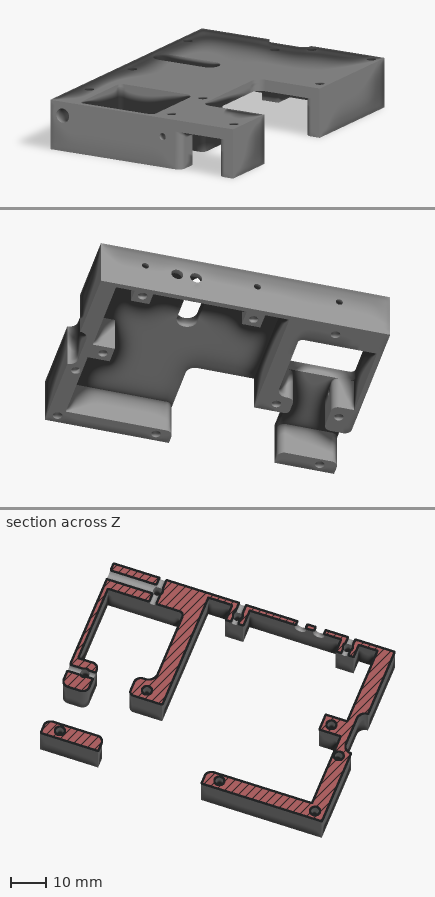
import cadquery as cq

LENGTH_X = 60.0
LENGTH_Y = 85.0
HEIGHT = 14.5
PLATE = 3.4
UNDER = HEIGHT - PLATE

WALL = 4.85
SIDE_WALL = 1.5
WALL_RADIUS = 2.0
FRONT_BLOCK_RIGHT = 43.0
POST_END_RADIUS = 1.4
RIGHT_WALL_X = LENGTH_X - WALL
REAR_WALL_Y = LENGTH_Y - WALL

CUTOUT_LEFT = 39.35
CUTOUT_FRONT = 17.5
CUTOUT_REAR = 48.5
CUTOUT_RADIUS = 2.7

WINDOW_LEFT = 8.6
WINDOW_RIGHT = 32.9
WINDOW_FRONT = 1.5
WINDOW_REAR = 24.4
WINDOW_RADIUS = 1.4
WINDOW_BIG_RADIUS = 2.7
POST_FRONT = 19.0
FRONT_BLOCK_REAR = 7.8
CROSS_WALL_REAR = WINDOW_REAR + WALL

SLOT_LEFT = 2.7
SLOT_RIGHT = 23.7
SLOT_Y = 54.0
SLOT_WIDTH = 6.0

NOTCH_X = 29.0
NOTCH_WIDTH = 13.8
NOTCH_DEPTH = 2.5
NOTCH_RADIUS = 2.4

SCREW_DIAMETER = 2.7
EDGE_OFFSET = 3.1
RIGHT_OFFSET = 2.6
RIGHT_HOLE_X = LENGTH_X - RIGHT_OFFSET
REAR_HOLE_X = 37.9
REAR_LEG_HOLE_Y = 53.0
POST_HOLE_X = 36.3
POST_HOLE_Y = 23.5
FRONT_HOLE_Y = 4.9
FRONT_HOLE_X = 36.9
LEFT_HOLE_X = 4.1
LEFT_HOLE_Y = 15.0
MIDDLE_HOLE_Y = 39.0
SIDE_HOLE_Y = 71.9
NOTCH_HOLE_Y = 76.4
BOSS_HALF = 2.7
SIDE_BOSS_POINTS = [(LEFT_HOLE_X, MIDDLE_HOLE_Y), (EDGE_OFFSET, SIDE_HOLE_Y)]
SCREW_POINTS = SIDE_BOSS_POINTS + [
    (LEFT_HOLE_X, LEFT_HOLE_Y),
    (NOTCH_X, NOTCH_HOLE_Y),
    (REAR_HOLE_X, LENGTH_Y - EDGE_OFFSET),
    (RIGHT_HOLE_X, LENGTH_Y - EDGE_OFFSET),
    (RIGHT_HOLE_X, REAR_LEG_HOLE_Y),
    (POST_HOLE_X, POST_HOLE_Y),
    (FRONT_HOLE_X, FRONT_HOLE_Y),
    (RIGHT_HOLE_X, FRONT_HOLE_Y),
]

SET_SCREW_DIAMETER = 2.0
SET_SCREW_Z = 9.0
CABLE_DIAMETER = 3.5
CABLE_Z = 8.0
CABLE_YS = (57.0, 62.6)
FRONT_BORE_DIAMETER = 4.2
FRONT_BORE_Z = 10.45
REAR_BORE_DIAMETER = 1.6
REAR_BORE_Z = 12.8


def box(x0, x1, y0, y1, z0=0, z1=HEIGHT):
    """Box between two opposite corners."""
    return cq.Workplane("XY").box(x1 - x0, y1 - y0, z1 - z0, centered=False).translate((x0, y0, z0))


def hole_along_x(y, z, diameter, end_x):
    """Cylinder from the left face to end_x."""
    return cq.Workplane("YZ").center(y, z).circle(diameter / 2).extrude(end_x)


def hole_along_y(x, z, diameter, start_y, end_y):
    """Cylinder from start_y back to end_y."""
    return cq.Workplane("XZ", origin=(x, start_y, z)).circle(diameter / 2).extrude(start_y - end_y)


def round_corner(body, x, y, radius):
    """Round the vertical edge of body that stands at (x, y)."""
    margin = 0.1
    edge = cq.selectors.BoxSelector(
        (x - margin, y - margin, -margin), (x + margin, y + margin, HEIGHT + margin)
    )
    return body.edges("|Z").edges(edge).fillet(radius)


def make_window_walls():
    """Walls around the window, with the post and the block at its right side."""
    left_block = box(0, WINDOW_LEFT, 0, CROSS_WALL_REAR, 0, UNDER)
    front_wall = box(0, WINDOW_RIGHT, 0, WINDOW_FRONT, 0, UNDER)
    front_block = box(WINDOW_RIGHT, FRONT_BLOCK_RIGHT, 0, FRONT_BLOCK_REAR, 0, UNDER)
    front_block = front_block.edges("|Z and (>X or >Y)").fillet(WALL_RADIUS)
    cross_wall = box(0, CUTOUT_LEFT, WINDOW_REAR - WINDOW_BIG_RADIUS, CROSS_WALL_REAR, 0, UNDER)
    post = box(WINDOW_RIGHT, CUTOUT_LEFT, POST_FRONT, CROSS_WALL_REAR, 0, UNDER)
    post = round_corner(post, WINDOW_RIGHT, POST_FRONT, WALL_RADIUS)
    post = round_corner(post, CUTOUT_LEFT, POST_FRONT, POST_END_RADIUS)
    return left_block.union(front_wall).union(front_block).union(cross_wall).union(post)


def make_outer_walls():
    """Thin left wall, rear wall and the two legs on the right."""
    left_wall = box(0, SIDE_WALL, CROSS_WALL_REAR, LENGTH_Y, 0, UNDER)
    rear_wall = box(0, LENGTH_X, REAR_WALL_Y, LENGTH_Y, 0, UNDER)
    front_leg = box(RIGHT_WALL_X, LENGTH_X, 0, CUTOUT_FRONT, 0, UNDER)
    front_leg = front_leg.edges("|Z and <X").fillet(WALL_RADIUS)
    rear_leg = box(RIGHT_WALL_X, LENGTH_X, CUTOUT_REAR, LENGTH_Y, 0, UNDER)
    rear_leg = rear_leg.edges("|Z and <X and <Y").fillet(WALL_RADIUS)
    return left_wall.union(rear_wall).union(front_leg).union(rear_leg)


def make_bosses():
    """Bosses around the screws that stand clear of the main walls."""
    bosses = box(NOTCH_X - BOSS_HALF, NOTCH_X + BOSS_HALF, NOTCH_HOLE_Y - BOSS_HALF, REAR_WALL_Y, 0, UNDER)
    for x, y in SIDE_BOSS_POINTS:
        bosses = bosses.union(box(0, x + BOSS_HALF, y - BOSS_HALF, y + BOSS_HALF, 0, UNDER))
    return bosses


def make_window():
    """Window with one larger corner radius."""
    window = box(WINDOW_LEFT, WINDOW_RIGHT, WINDOW_FRONT, WINDOW_REAR)
    window = round_corner(window, WINDOW_RIGHT, WINDOW_REAR, WINDOW_BIG_RADIUS)
    for x, y in (
        (WINDOW_LEFT, WINDOW_FRONT),
        (WINDOW_LEFT, WINDOW_REAR),
        (WINDOW_RIGHT, WINDOW_FRONT),
    ):
        window = round_corner(window, x, y, WINDOW_RADIUS)
    return window


def make_cutout():
    """Rounded cutout open to the right."""
    cutout = box(CUTOUT_LEFT, LENGTH_X, CUTOUT_FRONT, CUTOUT_REAR)
    return cutout.edges("|Z and <X").fillet(CUTOUT_RADIUS)


def make_slot():
    """Round-ended slot through the plate."""
    length = SLOT_RIGHT - SLOT_LEFT
    middle = (SLOT_LEFT + SLOT_RIGHT) / 2
    return cq.Workplane("XY").center(middle, SLOT_Y).slot2D(length, SLOT_WIDTH).extrude(HEIGHT)


def make_notch():
    """Rounded notch in the rear face."""
    notch = box(NOTCH_X - NOTCH_WIDTH / 2, NOTCH_X + NOTCH_WIDTH / 2, LENGTH_Y - NOTCH_DEPTH, LENGTH_Y)
    return notch.edges("|Z and <Y").fillet(NOTCH_RADIUS)


def make_screw_holes():
    """Vertical screw holes through the whole height."""
    return cq.Workplane("XY").pushPoints(SCREW_POINTS).circle(SCREW_DIAMETER / 2).extrude(HEIGHT)


def make_side_holes():
    """Holes entering the left face: three for set screws and two for cables."""
    holes = hole_along_x(LEFT_HOLE_Y, SET_SCREW_Z, SET_SCREW_DIAMETER, WINDOW_LEFT)
    for x, y in SIDE_BOSS_POINTS:
        holes = holes.union(hole_along_x(y, SET_SCREW_Z, SET_SCREW_DIAMETER, x + BOSS_HALF))
    for y in CABLE_YS:
        holes = holes.union(hole_along_x(y, CABLE_Z, CABLE_DIAMETER, SIDE_WALL))
    return holes


def make_end_holes():
    """Holes along Y that meet vertical screw holes."""
    set_screw = hole_along_y(FRONT_HOLE_X, SET_SCREW_Z, SET_SCREW_DIAMETER, 0, FRONT_BLOCK_REAR)
    front_bore = hole_along_y(LEFT_HOLE_X, FRONT_BORE_Z, FRONT_BORE_DIAMETER, 0, LEFT_HOLE_Y)
    rear_bore = hole_along_y(NOTCH_X, REAR_BORE_Z, REAR_BORE_DIAMETER, NOTCH_HOLE_Y, LENGTH_Y)
    return set_screw.union(front_bore).union(rear_bore)


plate = box(0, LENGTH_X, 0, LENGTH_Y, UNDER, HEIGHT)
result = plate.union(make_window_walls()).union(make_outer_walls()).union(make_bosses())
for cut in (
    make_window(),
    make_cutout(),
    make_slot(),
    make_notch(),
    make_screw_holes(),
    make_side_holes(),
    make_end_holes(),
):
    result = result.cut(cut)